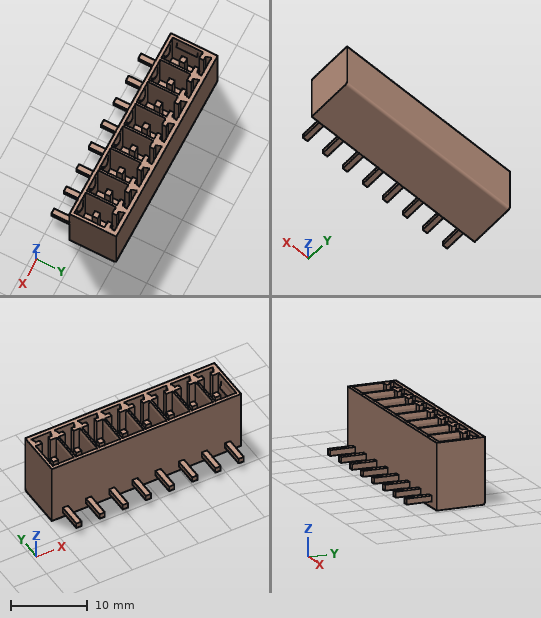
import cadquery as cq


length = 28.6
depth = 6.9
height = 9.2
rear_bottom_radius = 0.4

contact_count = 8
row_span = 24.5
pitch = row_span / (contact_count - 1)
cavity_centers = [i * pitch - row_span / 2 for i in range(contact_count)]

floor_z = 2.3
front_wall = 0.51
cavity_depth = 4.4
cavity_rear = front_wall + cavity_depth
mouth_width = 3.2
lead_in_inset = 0.105
lead_in_height = 0.55
cavity_width = mouth_width - 2 * lead_in_inset

neck_width = 1.25
neck_rear = 5.55
dovetail_front_width = 2.4
dovetail_rear_width = 2.85
dovetail_rear = 6.3

latch_height = 0.97
latch_top_z = height - 1.0
latch_bottom_z = latch_top_z - latch_height
bulge_width = 1.72
bulge_rise = 0.25
wedge_width = 3.03
wedge_rise = 0.195

contact_size = 0.8
contact_y = 2.9
contact_top_z = 7.72
tail_z = 1.2
tail_length = 3.52


def make_housing():
    block = cq.Workplane("XY").box(length, depth, height, centered=(True, False, False))
    return block.edges(">Y and <Z").fillet(rear_bottom_radius)


def make_cavity(x):
    """Pocket with side walls that flare towards the mouth, plus its keyway."""
    half_floor = cavity_width / 2
    half_mouth = mouth_width / 2
    pocket = (
        cq.Workplane("XZ", origin=(x, front_wall, 0))
        .moveTo(-half_floor, floor_z)
        .lineTo(half_floor, floor_z)
        .lineTo(half_floor, height - lead_in_height)
        .lineTo(half_mouth, height)
        .lineTo(-half_mouth, height)
        .lineTo(-half_floor, height - lead_in_height)
        .close()
        .extrude(-cavity_depth)
    )
    keyway_half = [
        (neck_width / 2, cavity_rear),
        (neck_width / 2, neck_rear),
        (dovetail_front_width / 2, neck_rear),
        (dovetail_rear_width / 2, dovetail_rear),
    ]
    mirrored_half = [(-px, py) for px, py in reversed(keyway_half)]
    keyway = (
        cq.Workplane("XY", origin=(x, 0, floor_z))
        .polyline(keyway_half + mirrored_half)
        .close()
        .extrude(height - floor_z)
    )
    return pocket.union(keyway)


def make_ramp(plane, origin, rise, width):
    """Triangular prism, flush with the wall at its top and `rise` proud at its bottom."""
    return (
        cq.Workplane(plane, origin=origin)
        .polyline([(0, 0), (rise, 0), (0, latch_height)])
        .close()
        .extrude(width)
    )


def make_bulge(x):
    """Front-wall ramp whose outline, seen along Z, is a shallow arc."""
    half = bulge_width / 2
    ramp = make_ramp("YZ", (x - half, front_wall, latch_bottom_z), bulge_rise, bulge_width)
    arc_prism = (
        cq.Workplane("XY", origin=(x, front_wall, latch_bottom_z))
        .moveTo(-half, 0)
        .threePointArc((0, bulge_rise), (half, 0))
        .close()
        .extrude(latch_height)
    )
    return ramp.intersect(arc_prism)


def make_wedge(side):
    """Straight ramp on an end wall; side is +1 or -1 along X."""
    wall_x = side * (cavity_centers[-1] + cavity_width / 2)
    wedge_rear = front_wall + (cavity_depth + wedge_width) / 2
    return make_ramp("XZ", (wall_x, wedge_rear, latch_bottom_z), -side * wedge_rise, wedge_width)


def make_contact(x):
    """Square-section contact: upright pin and a tail through the front face."""
    half = contact_size / 2
    profile = [
        (-tail_length, tail_z - half),
        (contact_y + half, tail_z - half),
        (contact_y + half, contact_top_z),
        (contact_y - half, contact_top_z),
        (contact_y - half, tail_z + half),
        (-tail_length, tail_z + half),
    ]
    return cq.Workplane("YZ", origin=(x - half, 0, 0)).polyline(profile).close().extrude(contact_size)


result = make_housing()
for center in cavity_centers:
    result = result.cut(make_cavity(center))
for center in cavity_centers:
    result = result.union(make_bulge(center)).union(make_contact(center))
for end in (-1, 1):
    result = result.union(make_wedge(end))